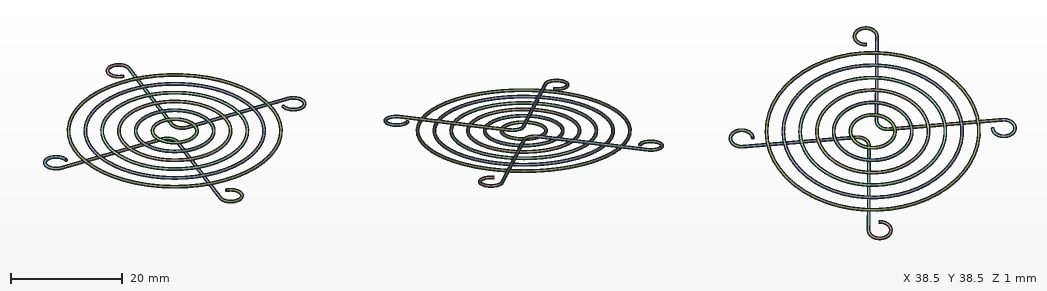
import cadquery as cq
import math

outer_diameter = 38.5
wire_diameter = 0.5
wire_radius = wire_diameter / 2
ring_count = 6
ring_pitch = 3.0
outer_ring_radius = outer_diameter / 2 - wire_radius

bend_radius = 2.0
bend_center_y = 2 * bend_radius
hook_offset = 16.6
hook_end_angle = 225.0

spoke_z = 0.0
ring_z = spoke_z + wire_diameter

arm_rise = hook_offset - bend_center_y
center_distance = math.hypot(hook_offset, arm_rise)
center_line_angle = math.degrees(math.atan2(arm_rise, hook_offset))
tangent_offset = math.degrees(math.acos(2 * bend_radius / center_distance))
bend_end_angle = center_line_angle - tangent_offset
hook_start_angle = bend_end_angle + 180


def bend_point(center_x, center_y, angle):
    """Point on a bend centreline at an angle in degrees."""
    turn = math.radians(angle)
    return (center_x + bend_radius * math.cos(turn), center_y + bend_radius * math.sin(turn))


def mirror_x(point):
    return (-point[0], point[1])


def make_ring(radius):
    """Round-wire ring centred on the guard axis."""
    ring = cq.Solid.makeTorus(radius, wire_radius)
    return ring.translate(cq.Vector(0, 0, ring_z))


def make_spoke_wire():
    """V-shaped wire on the +Y side: hook, arm, middle bend, arm, hook."""
    hook_tip_angle = hook_end_angle - 360
    hook_middle_angle = (hook_start_angle + hook_tip_angle) / 2
    bend_end = bend_point(0, bend_center_y, bend_end_angle)
    bend_bottom = bend_point(0, bend_center_y, -90)
    hook_start = bend_point(hook_offset, hook_offset, hook_start_angle)
    hook_middle = bend_point(hook_offset, hook_offset, hook_middle_angle)
    hook_tip = bend_point(hook_offset, hook_offset, hook_tip_angle)

    path = (
        cq.Workplane("XY", origin=(0, 0, spoke_z))
        .moveTo(*mirror_x(hook_tip))
        .threePointArc(mirror_x(hook_middle), mirror_x(hook_start))
        .lineTo(*mirror_x(bend_end))
        .threePointArc(bend_bottom, bend_end)
        .lineTo(*hook_start)
        .threePointArc(hook_middle, hook_tip)
        .wire()
    )
    tip_plane = cq.Plane(
        origin=(-hook_tip[0], hook_tip[1], spoke_z),
        xDir=(0, 0, 1),
        normal=path.val().tangentAt(0).toTuple(),
    )
    return cq.Workplane(tip_plane).circle(wire_radius).sweep(path)


rings = []
for index in range(ring_count):
    rings.append(make_ring(outer_ring_radius - index * ring_pitch))

spoke_wires = []
for rotation in (0, 180):
    spoke_wires.append(make_spoke_wire().rotate((0, 0, 0), (0, 0, 1), rotation).val())

result = cq.Compound.makeCompound([*rings, *spoke_wires])